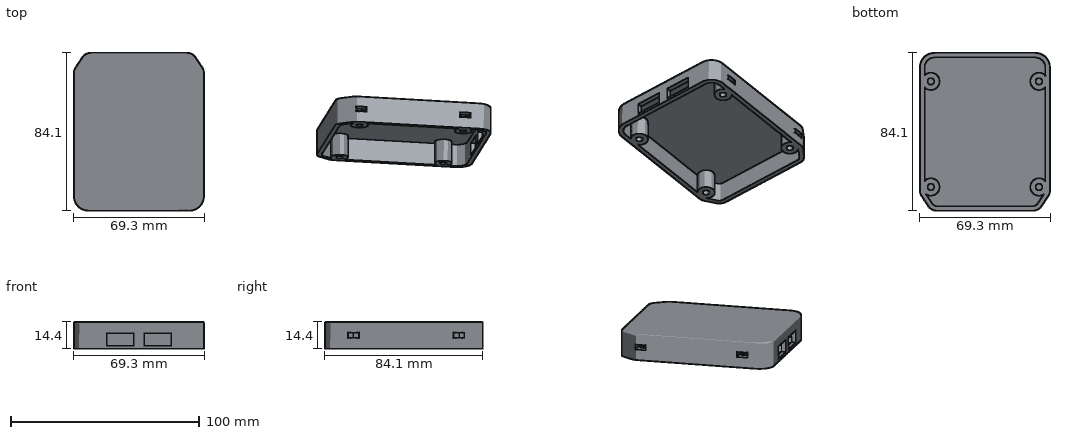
import cadquery as cq
import math

width = 69.3
length = 84.1
height = 14.4
wall = 2.5
top_fillet = 1.0

front_corner_radius = 7.9
back_cut_x = 6.1
back_cut_y = 9.25
back_blend_radius = 5.55

window_width = 14.3
window_height = 6.65
window_spacing = 19.85
window_bottom = 1.6

post_diameter = 9.25
post_from_side = 5.9
post_from_front = 15.2
post_from_back = 12.7
nut_across_flats = 5.7
nut_slot_height = 2.8
nut_slot_bottom = 5.8
screw_diameter = 3.5

half_width = width / 2
half_length = length / 2
cavity_height = height - wall
post_positions = [
    (side * (half_width - post_from_side), y)
    for side in (-1, 1)
    for y in (post_from_front - half_length, half_length - post_from_back)
]


def outer_block():
    outline = [
        (-half_width, -half_length),
        (half_width, -half_length),
        (half_width, half_length - back_cut_y),
        (half_width - back_cut_x, half_length),
        (-half_width + back_cut_x, half_length),
        (-half_width, half_length - back_cut_y),
    ]
    block = cq.Workplane("XY").polyline(outline).close().extrude(height)
    block = block.edges("|Z and (not <Y)").fillet(back_blend_radius)
    return block.edges("|Z and <Y").fillet(front_corner_radius)


def cavity(block):
    """Inside space: the outline moved inward by the wall, below the top wall."""
    outline = block.faces("<Z").wires().toPending()
    return outline.offset2D(-wall).extrude(cavity_height, combine=False)


def cylinders_at_posts(diameter):
    return cq.Workplane("XY").pushPoints(post_positions).circle(diameter / 2).extrude(cavity_height)


def front_window(x):
    return (
        cq.Workplane("XY")
        .box(window_width, 2 * wall, window_height, centered=(True, True, False))
        .translate((x, wall / 2 - half_length, window_bottom))
    )


def nut_slot(x, y):
    """Slot from the side wall to the post, ending in the two far flats of the nut."""
    half_flats = nut_across_flats / 2
    half_corner = math.radians(30)
    inward = -math.copysign(1, x)
    side_x = -inward * half_width
    shoulder_x = x + inward * half_flats * math.tan(half_corner)
    tip_x = x + inward * half_flats / math.cos(half_corner)
    outline = [
        (side_x, y - half_flats),
        (shoulder_x, y - half_flats),
        (tip_x, y),
        (shoulder_x, y + half_flats),
        (side_x, y + half_flats),
    ]
    slot = cq.Workplane("XY").workplane(offset=nut_slot_bottom)
    return slot.polyline(outline).close().extrude(nut_slot_height)


block = outer_block()
inside = cavity(block).cut(cylinders_at_posts(post_diameter))
result = block.faces(">Z").edges().fillet(top_fillet).cut(inside)
result = result.cut(cylinders_at_posts(screw_diameter))

for window_x in (-window_spacing / 2, window_spacing / 2):
    result = result.cut(front_window(window_x))

for post_x, post_y in post_positions:
    result = result.cut(nut_slot(post_x, post_y))